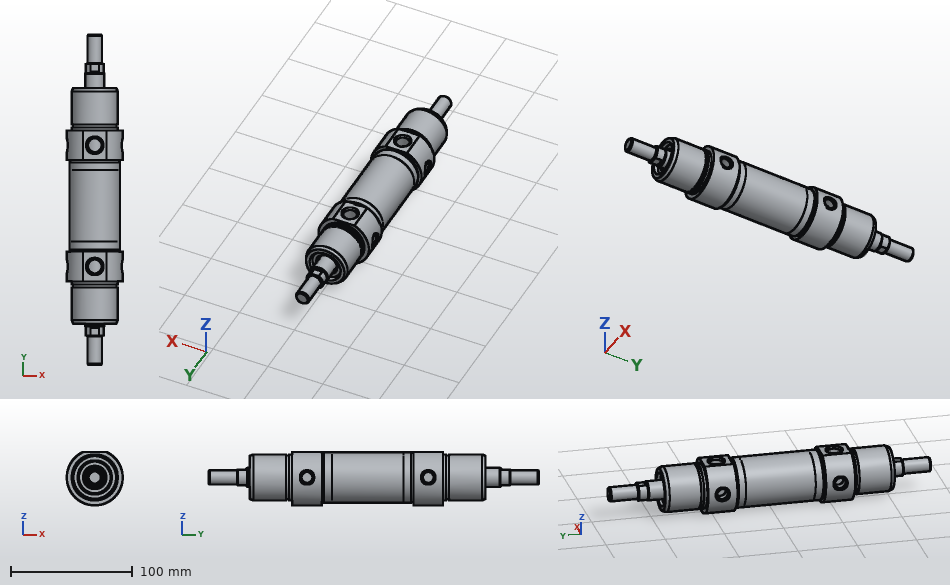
import cadquery as cq

LENGTH = 271.0
ROD_TIP = LENGTH / 2

ROD_D = 16.0
NECK_D = 15.0
NECK_LENGTH = 7.3
NECK_CONE = 0.8
ACROSS_FLATS = 13.0
FLAT_RAMP = (NECK_D - ACROSS_FLATS) / 2
THREAD_D = 12.0
THREAD_LENGTH = 24.0
THREAD_ROOT_D = ACROSS_FLATS
THREAD_ROOT_CONE = 0.8
THREAD_TIP_D = 10.0
THREAD_TIP_CHAMFER = 1.0

BORE_D = 40.0
TUBE_D = 41.7
TUBE_END_TAPER = 2.0

NOSE_D = 38.0
NOSE_LENGTH = 35.0
NOSE_TIP_D = 36.0
NOSE_CHAMFER = 3.3
NOSE_FACE_D = 35.0
NOSE_EDGE = 0.8
GROOVE_D = NOSE_TIP_D
GROOVE_GAP = 2.5
GROOVE_WIDTH = 2.5
COLLAR_D = 46.0
COLLAR_LENGTH = 24.5
PORT_FLAT_Z = TUBE_D / 2
SPIGOT_LENGTH = 8.0
HEAD_LENGTH = NOSE_LENGTH + COLLAR_LENGTH
COLLAR_MIDDLE = NOSE_LENGTH + COLLAR_LENGTH / 2

RECESS_MOUTH_D = 28.2
RECESS_FLOOR_D = 26.0
RECESS_DEPTH = 3.0
GLAND_MOUTH_D = 19.2
GLAND_D = 18.0
GLAND_CHAMFER = (GLAND_MOUTH_D - GLAND_D) / 2
GLAND_DEPTH = 2.2
LIP_D = 16.8
LIP_CHAMFER = (LIP_D - ROD_D) / 2
CHAMBER_D = 20.0
CHAMBER_REACH = 8.0

PORT_D = 11.5
PORT_MOUTH_D = 14.4
PORT_COUNTERSINK = (PORT_MOUTH_D - PORT_D) / 2
SIDE_HOLE_D = 9.0
SIDE_HOLE_FLOOR_X = 14.0
SIDE_COUNTERBORE_D = 12.0
SIDE_COUNTERBORE_FLOOR_X = 21.5

REAR_FACE_Y = -ROD_TIP + 33.5
FRONT_FACE_Y = ROD_TIP - 43.5
TUBE_REAR_Y = REAR_FACE_Y + HEAD_LENGTH
TUBE_FRONT_Y = FRONT_FACE_Y - HEAD_LENGTH


def revolve_about_y(outline):
    """Turn a closed outline of (radius, y) points about the Y axis."""
    return cq.Workplane("XY").polyline(outline).close().revolve(360, (0, 0), (0, 1))


def make_rod():
    """Rod with the same threaded end, two-flat neck and shoulder at both tips."""
    neck_end = ROD_TIP - THREAD_LENGTH
    neck_start = neck_end - NECK_LENGTH
    front_half = [
        (ROD_D / 2, neck_start - NECK_CONE),
        (NECK_D / 2, neck_start),
        (NECK_D / 2, neck_end),
        (THREAD_ROOT_D / 2, neck_end),
        (THREAD_D / 2, neck_end + THREAD_ROOT_CONE),
        (THREAD_D / 2, ROD_TIP - THREAD_TIP_CHAMFER),
        (THREAD_TIP_D / 2, ROD_TIP),
        (0, ROD_TIP),
    ]
    rear_half = [(radius, -y) for radius, y in reversed(front_half)]
    rod = revolve_about_y(rear_half + front_half)

    upper_flat = (
        cq.Workplane("YZ")
        .moveTo(neck_start + FLAT_RAMP, ACROSS_FLATS / 2)
        .lineTo(neck_end, ACROSS_FLATS / 2)
        .lineTo(neck_end, NECK_D / 2)
        .lineTo(neck_start, NECK_D / 2)
        .close()
        .extrude(NECK_D / 2, both=True)
    )
    lower_flat = upper_flat.mirror("XY")
    for flat in (upper_flat, lower_flat):
        rod = rod.cut(flat).cut(flat.mirror("XZ"))
    return rod


def make_tube():
    """Thin tube whose outside tapers down to the bore at both ends."""
    return revolve_about_y([
        (BORE_D / 2, TUBE_REAR_Y),
        (TUBE_D / 2, TUBE_REAR_Y + TUBE_END_TAPER),
        (TUBE_D / 2, TUBE_FRONT_Y - TUBE_END_TAPER),
        (BORE_D / 2, TUBE_FRONT_Y),
    ])


def head_blank():
    """Turned head with its nose face at Y = 0 and its spigot toward +Y."""
    groove_end = NOSE_LENGTH - GROOVE_GAP
    groove_start = groove_end - GROOVE_WIDTH
    spigot_end = HEAD_LENGTH + SPIGOT_LENGTH
    chamber_start = COLLAR_MIDDLE - CHAMBER_REACH
    gland_floor = RECESS_DEPTH + GLAND_DEPTH
    outside = [
        (NOSE_FACE_D / 2, 0),
        (NOSE_TIP_D / 2, NOSE_EDGE),
        (NOSE_D / 2, NOSE_CHAMFER),
        (NOSE_D / 2, groove_start),
        (GROOVE_D / 2, groove_start),
        (GROOVE_D / 2, groove_end),
        (NOSE_D / 2, groove_end),
        (NOSE_D / 2, NOSE_LENGTH),
        (COLLAR_D / 2, NOSE_LENGTH),
        (COLLAR_D / 2, HEAD_LENGTH),
        (BORE_D / 2, HEAD_LENGTH),
        (BORE_D / 2, spigot_end),
    ]
    inside = [
        (CHAMBER_D / 2, spigot_end),
        (CHAMBER_D / 2, chamber_start),
        (ROD_D / 2, chamber_start),
        (ROD_D / 2, gland_floor + LIP_CHAMFER),
        (LIP_D / 2, gland_floor),
        (GLAND_D / 2, gland_floor),
        (GLAND_D / 2, RECESS_DEPTH + GLAND_CHAMFER),
        (GLAND_MOUTH_D / 2, RECESS_DEPTH),
        (RECESS_FLOOR_D / 2, RECESS_DEPTH),
        (RECESS_MOUTH_D / 2, 0),
    ]
    return revolve_about_y(outside + inside)


def port_flat_cutter():
    """Block that cuts the flat on top of the collar."""
    block = cq.Workplane("XY").box(COLLAR_D, COLLAR_LENGTH, COLLAR_D)
    return block.translate((0, COLLAR_MIDDLE, PORT_FLAT_Z + COLLAR_D / 2))


def port_cutter():
    """Port drilled from the flat down to the axis, with a 45-degree countersink."""
    outline = [
        (0, 0),
        (PORT_D / 2, 0),
        (PORT_D / 2, PORT_FLAT_Z - PORT_COUNTERSINK),
        (PORT_MOUTH_D / 2, PORT_FLAT_Z),
        (0, PORT_FLAT_Z),
    ]
    port = cq.Workplane("XZ").polyline(outline).close().revolve(360, (0, 0), (0, 1))
    return port.translate((0, COLLAR_MIDDLE, 0))


def side_hole_cutter():
    """Counterbored blind hole that enters the collar from its +X side."""
    cutter = cq.Workplane("YZ").workplane(offset=SIDE_HOLE_FLOOR_X)
    cutter = cutter.circle(SIDE_HOLE_D / 2).extrude(COLLAR_D / 2 - SIDE_HOLE_FLOOR_X)
    counterbore = cq.Workplane("YZ").workplane(offset=SIDE_COUNTERBORE_FLOOR_X)
    counterbore = counterbore.circle(SIDE_COUNTERBORE_D / 2).extrude(COLLAR_D / 2 - SIDE_COUNTERBORE_FLOOR_X)
    return cutter.union(counterbore).translate((0, COLLAR_MIDDLE, 0))


def make_head():
    side_hole = side_hole_cutter()
    head = head_blank()
    for cutter in (port_flat_cutter(), port_cutter(), side_hole, side_hole.mirror("YZ")):
        head = head.cut(cutter)
    return head


rod = make_rod()
tube = make_tube()

heads = []
for face_y, turn in ((REAR_FACE_Y, 0), (FRONT_FACE_Y, 180)):
    head = make_head().rotate((0, 0, 0), (0, 0, 1), turn).translate((0, face_y, 0))
    heads.append(head.val())

result = cq.Compound.makeCompound([rod.val(), tube.val(), *heads])